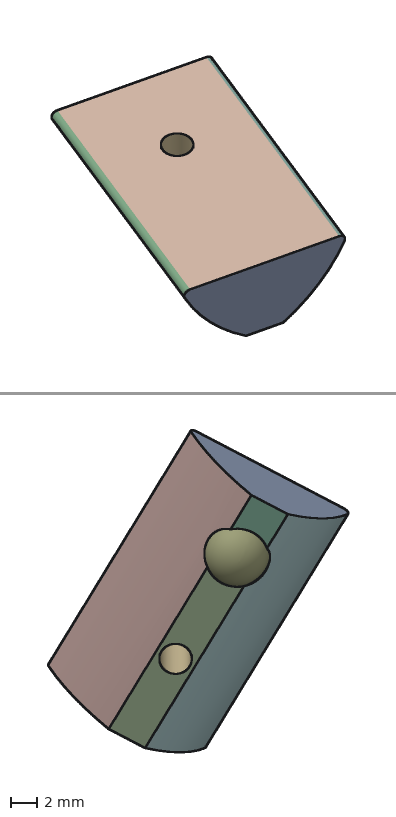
import cadquery as cq
import math

length = 22.0
bar_height = 7.0
bottom_width = 3.17

top_width = 13.7
edge_radius = 0.5
flank_top_angle = 24.0

hole_diameter = 2.46
hole_x = 7.5
ball_diameter = 5.04
ball_x = 17.0
total_height = 8.7


def edge_point(angle):
    """Point on the rounded +Y edge; the angle is measured from +Y towards +Z."""
    centre_y = top_width / 2 - edge_radius
    return (
        centre_y + edge_radius * math.cos(math.radians(angle)),
        -edge_radius + edge_radius * math.sin(math.radians(angle)),
    )


def make_bar():
    top_end = edge_point(90)
    edge_middle = edge_point(0)
    flank_top = edge_point(-flank_top_angle)
    bottom_corner = (bottom_width / 2, -bar_height)
    return (
        cq.Workplane("YZ")
        .moveTo(0, 0)
        .lineTo(*top_end)
        .threePointArc(edge_middle, flank_top)
        .tangentArcPoint(bottom_corner, relative=False)
        .lineTo(0, -bar_height)
        .mirrorY()
        .extrude(length)
    )


def make_hole():
    return (
        cq.Workplane("XY", origin=(hole_x, 0, -bar_height))
        .circle(hole_diameter / 2)
        .extrude(bar_height)
    )


def make_ball():
    ball_z = ball_diameter / 2 - total_height
    return cq.Workplane("XY", origin=(ball_x, 0, ball_z)).sphere(ball_diameter / 2)


result = make_bar().cut(make_hole()).union(make_ball())